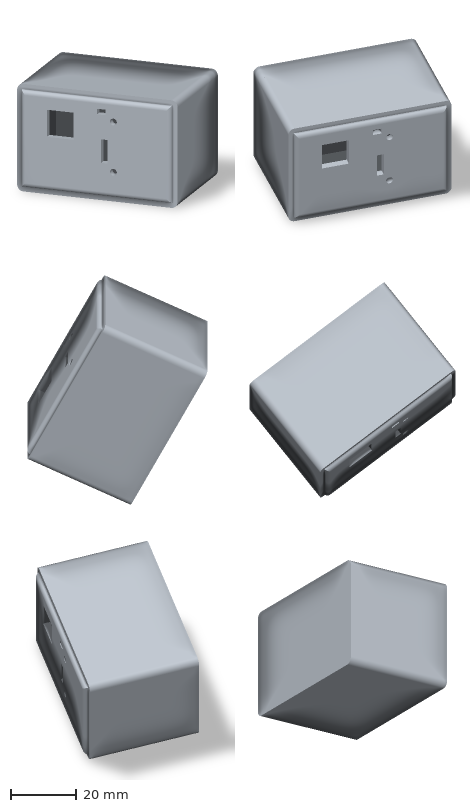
import cadquery as cq

width = 52.3
height = 34.4
depth = 36.5
corner_radius = 2.0
wall = 1.65

panel_rise = 1.45
panel_thickness = 2.25
lid_depth = 6.0
lid_front_y = -lid_depth
shell_front_y = panel_rise - depth
shell_depth = depth - panel_rise - lid_depth

opening_width = width - 2 * wall
opening_height = height - 2 * wall

square_window = (8.7, 8.7, -11.55, 5.9)
small_window = (2.8, 1.8, 1.9, 11.45)
slot = (2.15, 7.55, 2.9, -1.05)
hole_diameter = 2.2
hole_x = 5.8
hole_centre_z = 0.65
hole_spacing = 16.05


def block(size_x, size_z, front_y, length):
    """Rectangular block centred on X and Z, running from front_y toward +Y."""
    return (
        cq.Workplane("XZ", origin=(0, front_y, 0))
        .rect(size_x, size_z)
        .extrude(-length)
    )


def rounded_block(front_y, length):
    """Full-size block with its four long edges rounded."""
    return block(width, height, front_y, length).edges("|Y").fillet(corner_radius)


def make_shell():
    opening = block(opening_width, opening_height, shell_front_y, shell_depth)
    return rounded_block(shell_front_y, shell_depth).cut(opening)


def make_lid():
    return rounded_block(lid_front_y, lid_depth)


def make_front_panel():
    """Plate fitted in the shell opening, with a rounded rim standing proud of the shell."""
    panel = block(opening_width, opening_height, -depth, panel_thickness)
    panel = panel.faces("<Y").edges().fillet(panel_rise)

    for size_x, size_z, x, z in (square_window, small_window, slot):
        window = block(size_x, size_z, -depth, panel_thickness)
        panel = panel.cut(window.translate((x, 0, z)))

    holes = (
        cq.Workplane("XZ", origin=(hole_x, -depth, hole_centre_z))
        .rarray(0.5, hole_spacing, 1, 2)
        .circle(hole_diameter / 2)
        .extrude(-panel_thickness)
    )
    return panel.cut(holes)


shell = make_shell()
lid = make_lid()
front_panel = make_front_panel()

result = cq.Compound.makeCompound([shell.val(), lid.val(), front_panel.val()])